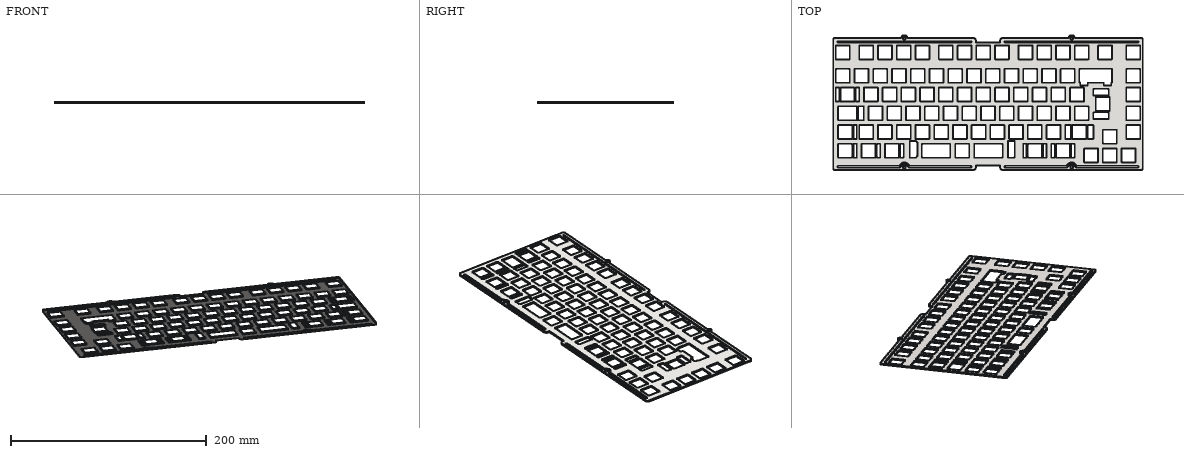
import cadquery as cq
import math

LENGTH = 316.3
DEPTH = 138.0
THICKNESS = 1.5
CORNER_RADIUS = 2.2
NOTCH_WIDTH = 24.5
NOTCH_DEPTH = 4.7
NOTCH_CORNER_RADIUS = 3.2

EAR_X = 85.5
EAR_RADIUS = 3.2
SCREW_DIAMETER = 2.7
EAR_Y = DEPTH / 2 - EAR_RADIUS

FRONT_Y = -DEPTH / 2
EAR_OVERHANG = 3.0
BACK_Y = DEPTH / 2 - EAR_OVERHANG

SLOT_INNER_X = 17.0
SLOT_OUTER_X = 153.5
BACK_SLOT_Y = 62.0
BACK_SLOT_WIDTH = 1.0
FRONT_SLOT_Y = -65.5
FRONT_SLOT_WIDTH = 2.0
DETOUR_WIDTH = 1.42

LAST_COLUMN = 15.5
GRID_LENGTH = 296.5
PITCH = GRID_LENGTH / LAST_COLUMN
KEY_CORNER_RADIUS = 0.5
KEY_WEB = 5.0
KEY = PITCH - KEY_WEB
FIRST_KEY_X = -GRID_LENGTH / 2
TOP_ROW_Y = 51.2
FUNCTION_ROW = 0.0
NUMBER_ROW = 1.25
TAB_ROW = 2.25
HOME_ROW = 3.25
SHIFT_ROW = 4.25
SPACE_ROW = 5.25
ARROW_ROW = 5.5
BAR = 1.52

SINGLE_KEYS = {
    FUNCTION_ROW: [0, 1.25, 2.25, 3.25, 4.25, 5.5, 6.5, 7.5, 8.5, 9.75, 10.75, 11.75, 12.75, 14],
    NUMBER_ROW: list(range(13)),
    TAB_ROW: [1.5 + i for i in range(12)],
    HOME_ROW: [1.75 + i for i in range(12)],
    SHIFT_ROW: [1.25 + i for i in range(11)],
    ARROW_ROW: [13.25, 14.25, 15.25],
    ARROW_ROW - 1: [14.25],
}
LAST_COLUMN_ROWS = [FUNCTION_ROW, NUMBER_ROW, TAB_ROW, HOME_ROW, SHIFT_ROW]

MULTI_KEYS = [
    (TAB_ROW, 0.25, 0.25, 0, 0.5),
    (HOME_ROW, 0.125, 0.375, 0.125, 0.75),
    (SHIFT_ROW, 0.125, 0.125, 0.125, 0.375),
    (SHIFT_ROW, 12.625, 12.625, 12.25, 13),
    (SPACE_ROW, 0.125, 0.125, 0.125, 0.375),
    (SPACE_ROW, 1.375, 1.375, 1.375, 1.625),
    (SPACE_ROW, 2.625, 2.625, 2.625, 2.875),
    (SPACE_ROW, 10.25, 10.25, 10, 10.5),
    (SPACE_ROW, 11.75, 11.75, 11.5, 12),
]

STABILIZER_SPACING = 24.0
STABILIZER_WIDTH = 6.5

BACKSPACE_COLUMNS = (13, 14)
BACKSPACE_STABILIZER_WIDTH = 7.3
BACKSPACE_STABILIZER_DROP = 3.0

ENTER_COLUMN = 13.875
ENTER_ROW = (TAB_ROW + HOME_ROW) / 2
ENTER_STABILIZER_LEFT = 9.5
ENTER_STABILIZER_RIGHT = 6.0

SPACE_COLUMN = 6.375
SPACE_SIDE_NEAR = 12.3
SPACE_SIDE_FAR = 41.0
SPACE_STABILIZER_OUTER = 53.5
SPACE_STABILIZER_RISE = 3.0
LEFT_STABILIZER_EXTRA = 1.0
STABILIZER_CHAMFER = 1.5


def key_x(column):
    return FIRST_KEY_X + column * PITCH


def key_y(row):
    return TOP_ROW_Y - row * PITCH


def block(x0, x1, y0, y1):
    """Through-thickness block between two corners."""
    return cq.Workplane("XY").box(x1 - x0, y1 - y0, THICKNESS, centered=False).translate((x0, y0, 0))


def opening(x0, x1, y0, y1):
    """Block with the rounded corners of the key openings."""
    return block(x0, x1, y0, y1).edges("|Z").fillet(KEY_CORNER_RADIUS)


def disc(x, y, radius):
    return cq.Workplane("XY").center(x, y).circle(radius).extrude(THICKNESS)


def key_opening(row, first_column, last_column):
    """Opening that spans the switch positions first_column to last_column."""
    y = key_y(row)
    return opening(key_x(first_column) - KEY / 2, key_x(last_column) + KEY / 2, y - KEY / 2, y + KEY / 2)


def make_plate():
    plate = block(-LENGTH / 2, LENGTH / 2, FRONT_Y, BACK_Y).edges("|Z").fillet(CORNER_RADIUS)
    half = NOTCH_WIDTH / 2
    plate = plate.cut(block(-half, half, FRONT_Y, FRONT_Y + NOTCH_DEPTH))
    plate = plate.cut(block(-half, half, BACK_Y - NOTCH_DEPTH, BACK_Y))
    for edge_y in (FRONT_Y, BACK_Y):
        for x in (-half, half):
            corner = cq.selectors.NearestToPointSelector((x, edge_y, THICKNESS / 2))
            plate = plate.edges("|Z").edges(corner).fillet(NOTCH_CORNER_RADIUS)
    for x in (-EAR_X, EAR_X):
        plate = plate.union(disc(x, EAR_Y, EAR_RADIUS))
    return plate


def straight_slot(x0, x1, y, width):
    return (
        cq.Workplane("XY")
        .center((x0 + x1) / 2, y)
        .slot2D(x1 - x0, width)
        .extrude(THICKNESS)
    )


def detour_slot(ear_x, x0, x1):
    """Front slot that climbs at 45 degrees and arcs over the screw hole at ear_x."""
    diagonal = math.sqrt(0.5)
    inner = EAR_RADIUS
    outer = EAR_RADIUS + DETOUR_WIDTH
    end_radius = FRONT_SLOT_WIDTH / 2
    low = FRONT_SLOT_Y - end_radius
    high = FRONT_SLOT_Y + end_radius

    def foot(radius, y):
        """Distance from the hole to where the 45 degree tangent meets height y."""
        return 2 * radius * diagonal - EAR_Y - y

    def tangent(radius):
        return radius * diagonal

    return (
        cq.Workplane("XY")
        .moveTo(x0 + end_radius, low)
        .lineTo(ear_x - foot(inner, low), low)
        .lineTo(ear_x - tangent(inner), -EAR_Y + tangent(inner))
        .threePointArc((ear_x, -EAR_Y + inner), (ear_x + tangent(inner), -EAR_Y + tangent(inner)))
        .lineTo(ear_x + foot(inner, low), low)
        .lineTo(x1 - end_radius, low)
        .threePointArc((x1, FRONT_SLOT_Y), (x1 - end_radius, high))
        .lineTo(ear_x + foot(outer, high), high)
        .lineTo(ear_x + tangent(outer), -EAR_Y + tangent(outer))
        .threePointArc((ear_x, -EAR_Y + outer), (ear_x - tangent(outer), -EAR_Y + tangent(outer)))
        .lineTo(ear_x - foot(outer, high), high)
        .lineTo(x0 + end_radius, high)
        .threePointArc((x0, FRONT_SLOT_Y), (x0 + end_radius, low))
        .close()
        .extrude(THICKNESS)
    )


def edge_cuts():
    """Screw holes and flex slots."""
    cuts = []
    for side in (-1, 1):
        x0, x1 = sorted((side * SLOT_INNER_X, side * SLOT_OUTER_X))
        cuts.append(straight_slot(x0, x1, BACK_SLOT_Y, BACK_SLOT_WIDTH))
        cuts.append(detour_slot(side * EAR_X, x0, x1))
        for y in (-EAR_Y, EAR_Y):
            cuts.append(disc(side * EAR_X, y, SCREW_DIAMETER / 2))
    return cuts


def single_key_cuts():
    cuts = [key_opening(row, LAST_COLUMN, LAST_COLUMN) for row in LAST_COLUMN_ROWS]
    for row, columns in SINGLE_KEYS.items():
        cuts += [key_opening(row, column, column) for column in columns]
    return cuts


def multi_key_cuts():
    """Main openings with a slit on one or both sides, behind a thin bar."""
    cuts = []
    for row, first, last, leftmost, rightmost in MULTI_KEYS:
        y0 = key_y(row) - KEY / 2
        y1 = key_y(row) + KEY / 2
        cuts.append(key_opening(row, first, last))
        if leftmost < first:
            cuts.append(opening(key_x(leftmost) - KEY / 2, key_x(first) - KEY / 2 - BAR, y0, y1))
        if rightmost > last:
            cuts.append(opening(key_x(last) + KEY / 2 + BAR, key_x(rightmost) + KEY / 2, y0, y1))
    return cuts


def backspace_cuts():
    cuts = [key_opening(NUMBER_ROW, *BACKSPACE_COLUMNS)]
    middle = key_x(sum(BACKSPACE_COLUMNS) / 2)
    y = key_y(NUMBER_ROW)
    half = BACKSPACE_STABILIZER_WIDTH / 2
    for x in (middle - STABILIZER_SPACING / 2, middle + STABILIZER_SPACING / 2):
        cuts.append(opening(x - half, x + half, y - KEY / 2 - BACKSPACE_STABILIZER_DROP, y))
    return cuts


def enter_cuts():
    cuts = [key_opening(ENTER_ROW, ENTER_COLUMN, ENTER_COLUMN)]
    x = key_x(ENTER_COLUMN)
    half = STABILIZER_WIDTH / 2
    for side in (-1, 1):
        y = key_y(ENTER_ROW) + side * STABILIZER_SPACING / 2
        stabilizer = opening(x - ENTER_STABILIZER_LEFT, x + ENTER_STABILIZER_RIGHT, y - half, y + half)
        cuts.append(stabilizer)
    return cuts


def space_bar_cuts():
    cuts = [key_opening(SPACE_ROW, SPACE_COLUMN, SPACE_COLUMN)]
    x = key_x(SPACE_COLUMN)
    y0 = key_y(SPACE_ROW) - KEY / 2
    y1 = key_y(SPACE_ROW) + KEY / 2
    cuts.append(opening(x - SPACE_SIDE_FAR, x - SPACE_SIDE_NEAR, y0, y1))
    cuts.append(opening(x + SPACE_SIDE_NEAR, x + SPACE_SIDE_FAR, y0, y1))

    top = y1 + SPACE_STABILIZER_RISE
    right_end = x + SPACE_STABILIZER_OUTER
    cuts.append(opening(right_end - STABILIZER_WIDTH, right_end, y0, top))
    left_end = x - SPACE_STABILIZER_OUTER
    left_stabilizer = block(left_end, left_end + STABILIZER_WIDTH + LEFT_STABILIZER_EXTRA, y0, top)
    cuts.append(left_stabilizer.edges("|Z and >X").chamfer(STABILIZER_CHAMFER))
    return cuts


cutters = (
    edge_cuts() + single_key_cuts() + multi_key_cuts() + backspace_cuts() + enter_cuts() + space_bar_cuts()
)
result = cq.Workplane(make_plate().val().cut(*[cutter.val() for cutter in cutters]).Solids()[0])